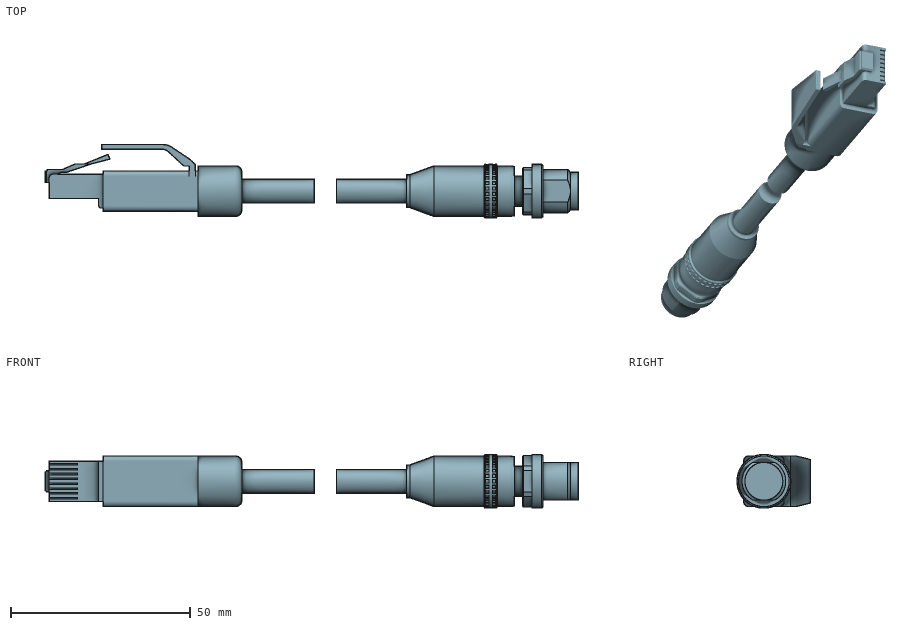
import cadquery as cq
import math


cable_radius = 6.7 / 2
body_radius = 14.1 / 2
outer_radius = 15.0 / 2
overall_depth = 20.5

nose_x = 1.12
collar_x = 14.9
housing_x = 16.2
boot_x = 42.7
boot_end_x = 54.9
plug_cable_end_x = 75.1

plug_half_width = 5.6
plug_bottom_y = -2.1
plug_top_y = 4.8
nose_round = 1.2
housing_half_height = 5.6
housing_round = 1.41
collar_round = 0.9
boot_round = 1.8

slot_count = 8
slot_pitch = 1.35
slot_width = 0.5
slot_depth = 1.8
slot_end_x = 9.0
contact_round = 0.9

latch_half_width = 3.0
tab_bottom_y = 2.4
tab_top_y = 5.6
tab_edge_chamfer = 0.5
latch_front_x = 0.6
latch_back_x = 4.3
latch_bottom_y = 3.0
latch_top_y = 6.1
spring_bottom_y = 5.2
spring_bottom_x = 6.0
spring_root_x = 3.4
spring_top_x = 4.9
step_x = 8.3
step_y = 7.6
step_end_x = 10.9
step_tail_x = 13.0
arm_half_width = 1.8
arm_tip_top = (17.5, 10.3)
arm_tip_bottom = (18.1, 8.9)

guard_tip_x = 15.8
guard_top_y = overall_depth - outer_radius
guard_thickness = 1.3
guard_tip_half_width = 6.1 / 2
guard_bend_x = 34.2
guard_bend_inner_x = 33.6
guard_bend_round = 2.7
guard_root_y = 9.0
guard_root_inner_x = 38.7
guard_root_inner_y = 7.0
post_x = 40.1
post_end_x = 42.0
post_bottom_y = housing_half_height - housing_round
post_top_y = 7.5

round_cable_start_x = 81.2
grip_x = 100.8
cone_x = 101.7
cone_end_x = 108.4
grip_taper_x = 129.6
grip_end_x = 130.8
cone_start_radius = 4.6
grip_end_taper = 0.1
grip_end_radius = body_radius - grip_end_taper

knurl_x = 122.4
knurl_end_x = 126.1
knurl_edge = 0.22
knurl_count = 30
knurl_pocket_width = 0.9
knurl_rib = 0.5
knurl_middle_rib = 0.9

hex_x = 133.0
flange_x = 135.7
flange_end_x = 138.9
sleeve_end_x = 145.7
tip_x = 146.5
tip_end_x = 148.7
neck_radius = 8.5 / 2
hex_apothem = 13.2 / 2
hex_corner_apothem = 14.4 / 2
hex_end_chamfer = 0.3
flange_chamfer = 0.5
sleeve_radius = 6.1
tip_radius = 10.5 / 2


def block(x_range, y_range, z_range):
    """Box spanning the given (low, high) ranges."""
    spans = [high - low for low, high in (x_range, y_range, z_range)]
    corner = (x_range[0], y_range[0], z_range[0])
    return cq.Workplane("XY").box(*spans, centered=False).translate(corner)


def wide_block(x_range, y_range, half_width):
    """Box that is symmetric about Z = 0."""
    return block(x_range, y_range, (-half_width, half_width))


def rod(start_x, end_x, radius):
    """Cylinder on the X axis."""
    return cq.Workplane("YZ", origin=(start_x, 0, 0)).circle(radius).extrude(end_x - start_x)


def turned(points):
    """Solid of revolution about the X axis from an (x, radius) outline."""
    outline = [(points[0][0], 0), *points, (points[-1][0], 0)]
    return cq.Workplane("XY").polyline(outline).close().revolve(360, (0, 0, 0), (1, 0, 0))


def plate(points, half_width):
    """XY outline given thickness symmetrically about Z = 0."""
    return cq.Workplane("XY").polyline(points).close().extrude(half_width, both=True)



def contact_slots():
    """Narrow slots between contacts, and the rounded nose edge of the contact row."""
    row_half_width = (slot_count - 1) * slot_pitch / 2
    corner = wide_block(
        (nose_x, nose_x + contact_round), (plug_bottom_y, plug_bottom_y + contact_round), row_half_width
    )
    arc_centre = (nose_x + contact_round, plug_bottom_y + contact_round)
    rounding = cq.Workplane("XY").center(*arc_centre).circle(contact_round).extrude(row_half_width, both=True)
    cuts = corner.cut(rounding)
    for index in range(slot_count):
        slot_z = index * slot_pitch - row_half_width
        slot = wide_block((nose_x, slot_end_x), (plug_bottom_y, plug_bottom_y + slot_depth), slot_width / 2)
        cuts = cuts.union(slot.translate((0, 0, slot_z)))
    return cuts


def plug_front():
    nose = wide_block((nose_x, housing_x), (plug_bottom_y, plug_top_y), plug_half_width)
    nose = nose.edges("<X and >Y").fillet(nose_round)
    collar = wide_block((collar_x, housing_x), (-plug_top_y, plug_top_y), plug_half_width)
    collar = collar.edges("<X and <Y").fillet(collar_round)
    return nose.cut(contact_slots()).union(collar)


def plug_rear():
    height_range = (-housing_half_height, housing_half_height)
    housing = wide_block((housing_x, boot_x), height_range, body_radius)
    housing = housing.edges("|X").fillet(housing_round)
    boot = rod(boot_x, boot_end_x, body_radius).faces(">X").edges().fillet(boot_round)
    return housing.union(boot).union(rod(boot_end_x, plug_cable_end_x, cable_radius))


def latch():
    """Nose tab, wide stepped spring and the narrower release arm."""
    tab = wide_block((0, nose_x + nose_round), (tab_bottom_y, tab_top_y), latch_half_width)
    tab = tab.edges("<X and |Y").chamfer(tab_edge_chamfer)
    root = plate(
        [
            (latch_front_x, latch_bottom_y), (latch_front_x, latch_top_y), (latch_back_x, latch_top_y),
            (latch_back_x, spring_bottom_y), (spring_root_x, plug_top_y), (spring_root_x, latch_bottom_y),
        ],
        latch_half_width,
    )
    spring = plate(
        [
            (spring_root_x, spring_bottom_y), (spring_root_x, latch_top_y), (spring_top_x, latch_top_y),
            (step_x, step_y), (step_tail_x, step_y), (spring_bottom_x, spring_bottom_y),
        ],
        latch_half_width,
    )
    arm = plate(
        [
            (spring_bottom_x, spring_bottom_y), (step_x, step_y), (step_end_x, step_y),
            arm_tip_top, arm_tip_bottom, (step_tail_x, step_y),
        ],
        arm_half_width,
    )
    return tab.union(root).union(spring).union(arm)


def snag_guard():
    strip_bottom_y = guard_top_y - guard_thickness
    outer_bend = (guard_bend_x, guard_top_y)
    inner_bend = (guard_bend_inner_x, strip_bottom_y)
    strip = plate(
        [
            (guard_tip_x, guard_top_y), outer_bend, (post_x, guard_root_y), (post_x, guard_root_inner_y),
            (guard_root_inner_x, guard_root_inner_y), inner_bend, (guard_tip_x, strip_bottom_y),
        ],
        body_radius,
    )
    for bend, radius in ((inner_bend, guard_bend_round), (outer_bend, guard_bend_round + guard_thickness)):
        bend_edge = cq.selectors.NearestToPointSelector((*bend, 0))
        strip = strip.edges(bend_edge).fillet(radius)
    taper = (
        cq.Workplane("XZ")
        .polyline([
            (guard_tip_x, guard_tip_half_width), (post_x, body_radius),
            (post_x, -body_radius), (guard_tip_x, -guard_tip_half_width),
        ])
        .close()
        .extrude(-guard_top_y)
    )
    post = plate(
        [
            (post_x, post_bottom_y), (post_x, guard_root_y),
            (post_end_x, post_top_y), (post_end_x, post_bottom_y),
        ],
        body_radius,
    )
    return strip.intersect(taper).union(post)


def modular_plug():
    return plug_front().union(plug_rear()).union(latch()).union(snag_guard())



def knurl_pockets():
    """Two rows of pockets around the band."""
    middle_x = (knurl_x + knurl_end_x) / 2
    row_starts = (knurl_x + knurl_rib, middle_x + knurl_middle_rib / 2)
    row_length = middle_x - knurl_middle_rib / 2 - row_starts[0]
    pockets = []
    for start_x in row_starts:
        length_range = (start_x, start_x + row_length)
        pocket = wide_block(length_range, (body_radius, outer_radius), knurl_pocket_width / 2)
        for index in range(knurl_count):
            angle = index * 360 / knurl_count
            pockets.append(pocket.rotate((0, 0, 0), (1, 0, 0), angle).val())
    return cq.Workplane(cq.Compound.makeCompound(pockets))


def grip():
    body = turned([
        (grip_x, cone_start_radius), (cone_x, cone_start_radius), (cone_end_x, body_radius),
        (knurl_x, body_radius), (knurl_x + knurl_edge, outer_radius),
        (knurl_end_x - knurl_edge, outer_radius), (knurl_end_x, body_radius),
        (grip_taper_x, body_radius), (grip_end_x, grip_end_radius),
    ])
    return body.cut(knurl_pockets()).union(rod(round_cable_start_x, grip_x, cable_radius))



def hexagon(apothem, first_angle):
    """Hexagonal bar on the X axis whose first corner is at the given angle from +Y."""
    corner_radius = apothem / math.cos(math.pi / 6)
    corners = []
    for index in range(6):
        angle = first_angle + index * math.pi / 3
        corners.append((corner_radius * math.cos(angle), corner_radius * math.sin(angle)))
    return cq.Workplane("YZ", origin=(hex_x, 0, 0)).polyline(corners).close().extrude(flange_x - hex_x)


def hex_section():
    """Hexagon with flat-cut corners and a chamfer around its rear end."""
    bar = hexagon(hex_apothem, math.pi / 6).intersect(hexagon(hex_corner_apothem, 0))
    return bar.faces("<X").edges().chamfer(hex_end_chamfer)


def sleeve():
    """Flange and sleeve with two flats level with the smaller tip."""
    body = turned([
        (flange_x, outer_radius), (flange_end_x - flange_chamfer, outer_radius),
        (flange_end_x, outer_radius - flange_chamfer), (flange_end_x, sleeve_radius),
        (sleeve_end_x, sleeve_radius), (tip_x, tip_radius), (tip_end_x, tip_radius),
    ])
    removed = block((flange_end_x, tip_end_x), (-sleeve_radius, sleeve_radius), (tip_radius, sleeve_radius))
    return body.cut(removed).cut(removed.mirror("XY"))


def coupling():
    return rod(grip_end_x, hex_x, neck_radius).union(hex_section()).union(sleeve())


result = cq.Compound.makeCompound([modular_plug().val(), grip().val(), coupling().val()])